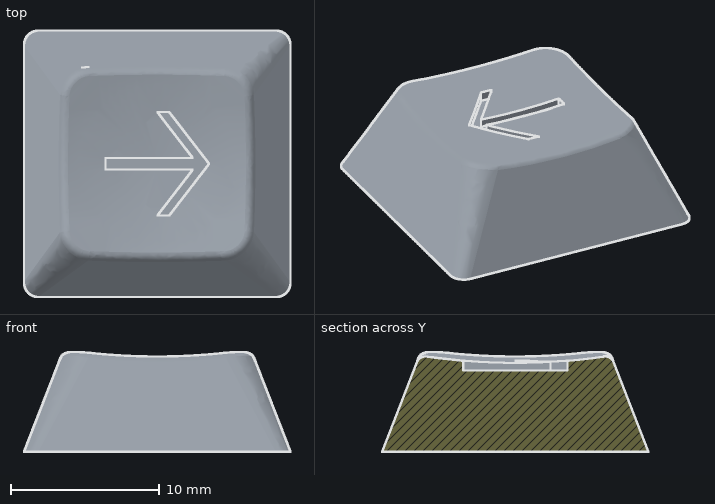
import cadquery as cq

BASE_SIDE = 18.0
BASE_CORNER_RADIUS = 1.0
LOFT_HEIGHT = 7.0
LOFT_TOP_SIDE = 12.56
LOFT_TOP_CORNER_RADIUS = 2.0

DISH_RADIUS = 41.0
DISH_BOTTOM_Z = 6.0
RIM_FILLET = 0.6

ARROW_HALF_LENGTH = 3.5
ARROW_HALF_SPAN = 3.5
ARROW_BARB_WIDTH = 0.8
SHAFT_HALF_WIDTH = 0.4
ARROW_DEPTH = 0.5


def dish_sphere():
    """Sphere whose lowest point is the dish bottom."""
    centre_z = DISH_BOTTOM_Z + DISH_RADIUS
    return cq.Workplane("XY").sphere(DISH_RADIUS).translate((0, 0, centre_z))


def rounded_square(side, corner_radius):
    return cq.Sketch().rect(side, side).vertices().fillet(corner_radius)


def tapered_body():
    base = rounded_square(BASE_SIDE, BASE_CORNER_RADIUS)
    top = rounded_square(LOFT_TOP_SIDE, LOFT_TOP_CORNER_RADIUS)
    top = top.moved(cq.Location(cq.Vector(0, 0, LOFT_HEIGHT)))
    return cq.Workplane("XY").placeSketch(base, top).loft()


def dished_body():
    body = tapered_body().cut(dish_sphere())
    return body.faces("%SPHERE").edges().fillet(RIM_FILLET)


def arrow_pocket():
    """Arrow prism rising from a flat floor below the dish bottom."""
    barb_run = ARROW_HALF_LENGTH - ARROW_BARB_WIDTH
    barb_inner_x = barb_run * (1 - SHAFT_HALF_WIDTH / ARROW_HALF_SPAN)
    outline = [
        (-ARROW_HALF_LENGTH, -SHAFT_HALF_WIDTH),
        (barb_inner_x, -SHAFT_HALF_WIDTH),
        (0, -ARROW_HALF_SPAN),
        (ARROW_BARB_WIDTH, -ARROW_HALF_SPAN),
        (ARROW_HALF_LENGTH, 0),
        (ARROW_BARB_WIDTH, ARROW_HALF_SPAN),
        (0, ARROW_HALF_SPAN),
        (barb_inner_x, SHAFT_HALF_WIDTH),
        (-ARROW_HALF_LENGTH, SHAFT_HALF_WIDTH),
    ]
    floor_z = DISH_BOTTOM_Z - ARROW_DEPTH
    floor = cq.Workplane("XY").workplane(offset=floor_z)
    return floor.polyline(outline).close().extrude(LOFT_HEIGHT - floor_z)


result = dished_body().cut(arrow_pocket())